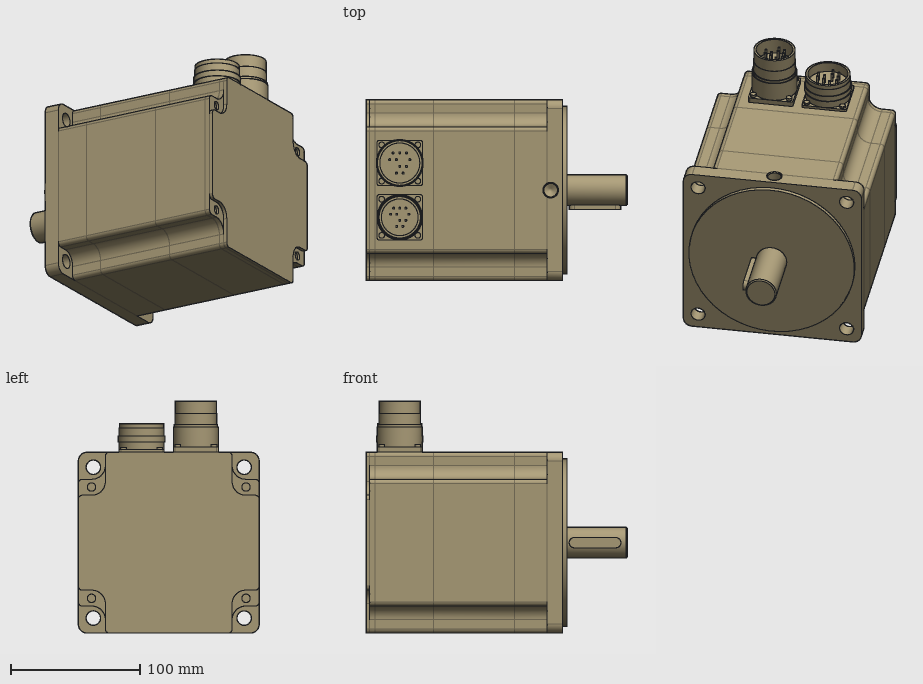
import cadquery as cq
import math


body_width = 140.05
half_width = body_width / 2
flange_thickness = 12.0
body_rear = -149.25
section_joints = [-145.3, -100.0, -37.4]
flange_corner_radius = 7.0
edge_radius = 3.3

recess = 21.0
recess_radius = 10.5
cover_recess = 33.3
cover_thickness = 2.75

bolt_circle = 165.0
bolt_hole_diameter = 11.0
bolt_offset = bolt_circle / 2 / math.sqrt(2)
screw_hole_diameter = 6.5
screw_hole_depth = 2.0
screw_y = half_width - 10.3
screw_z = half_width - 27.0
top_hole_x = -9.3
top_hole_diameter = 10.5
top_hole_chamfer = 0.75
top_hole_depth = 8.0
drill_point_angle = 118.0

pilot_diameter = 130.0
pilot_height = 3.5
shaft_diameter = 24.0
shaft_length = 50.0
shaft_chamfer = 1.0
key_start = 5.0
key_length = 40.0
key_width = 8.0
key_top = 15.0

connector_x = -126.0
connector_spacing = 42.0
plate_width = 35.0
plate_corner_radius = 1.5
screw_head_diameter = 4.4
screw_head_spacing = 28.0
pin_diameter = 1.5
pin_grid = [
    (-1, 1.5), (0, 1.5), (1, 1.5),
    (-1.5, 0.5), (-0.5, 0.5), (1.5, 0.5),
    (0, -0.5), (1, -0.5),
    (-0.5, -1.5), (0.5, -1.5),
]


def recessed_section(x_start, length, recess_z):
    """Square prism along X with a round-bottomed recess in each corner."""
    prism = (
        cq.Workplane("YZ").workplane(offset=x_start)
        .rect(body_width, body_width).extrude(length)
    )
    for side_y in (-1, 1):
        for side_z in (-1, 1):
            inner_y = side_y * (half_width - recess)
            inner_z = side_z * (half_width - recess_z)
            inner_corner = (x_start + length / 2, inner_y, inner_z)
            cutter = (
                cq.Workplane("YZ").workplane(offset=x_start)
                .center(inner_y + side_y * half_width / 2, inner_z + side_z * half_width / 2)
                .rect(half_width, half_width).extrude(length)
                .edges("|X").edges(cq.selectors.NearestToPointSelector(inner_corner))
                .fillet(recess_radius)
            )
            prism = prism.cut(cutter)
    return prism.edges("|X").edges(">Y or <Y or >Z or <Z").fillet(edge_radius)


def make_housing():
    """Flange, stacked housing sections and rear cover."""
    housing = (
        cq.Workplane("YZ").workplane(offset=-flange_thickness)
        .rect(body_width, body_width).extrude(flange_thickness)
        .edges("|X").fillet(flange_corner_radius)
    )
    stations = [body_rear] + section_joints + [-flange_thickness]
    for start, end in zip(stations, stations[1:]):
        housing = housing.union(recessed_section(start, end - start, recess), clean=False)
    cover = recessed_section(body_rear - cover_thickness, cover_thickness, cover_recess)
    return housing.union(cover, clean=False)


def cut_holes(motor):
    """Flange bolt holes, rear screw holes and the pointed hole in the top face."""
    bolt_holes = (
        cq.Workplane("YZ").workplane(offset=-flange_thickness)
        .rect(2 * bolt_offset, 2 * bolt_offset, forConstruction=True).vertices()
        .circle(bolt_hole_diameter / 2).extrude(flange_thickness)
    )
    screw_holes = (
        cq.Workplane("YZ").workplane(offset=body_rear)
        .rect(2 * screw_y, 2 * screw_z, forConstruction=True).vertices()
        .circle(screw_hole_diameter / 2).extrude(screw_hole_depth)
    )
    radius = top_hole_diameter / 2
    point_depth = radius / math.tan(math.radians(drill_point_angle / 2))
    top_hole = (
        cq.Workplane("XZ")
        .moveTo(0, half_width)
        .lineTo(radius + top_hole_chamfer, half_width)
        .lineTo(radius, half_width - top_hole_chamfer)
        .lineTo(radius, half_width - top_hole_depth)
        .lineTo(0, half_width - top_hole_depth - point_depth)
        .close()
        .revolve(360, (0, 0, 0), (0, 1, 0))
        .translate((top_hole_x, 0, 0))
    )
    return motor.cut(bolt_holes, clean=False).cut(screw_holes, clean=False).cut(top_hole, clean=False)


def make_shaft():
    """Pilot, shaft and round-ended key on the -Y side."""
    pilot = cq.Workplane("YZ").circle(pilot_diameter / 2).extrude(pilot_height)
    shaft = (
        cq.Workplane("YZ").circle(shaft_diameter / 2).extrude(shaft_length)
        .faces(">X").chamfer(shaft_chamfer)
    )
    key = (
        cq.Workplane("XZ").center(key_start + key_length / 2, 0)
        .slot2D(key_length, key_width).extrude(key_top)
    )
    return pilot.union(shaft).union(key)


def make_connector(
    y, plate_height, head_height, steps, bore_diameter, bore_floor, pin_pitch, pin_length
):
    """Round connector on a square plate; steps lists (diameter, top height) from the bottom up."""
    base = cq.Workplane("XY", origin=(connector_x, y, half_width))
    connector = (
        base.rect(plate_width, plate_width).extrude(plate_height)
        .edges("|Z").fillet(plate_corner_radius)
    )
    heads = (
        base.rect(screw_head_spacing, screw_head_spacing, forConstruction=True).vertices()
        .circle(screw_head_diameter / 2).extrude(plate_height + head_height)
    )
    connector = connector.union(heads)
    bottom = 0.0
    for diameter, top in steps:
        step = base.workplane(offset=bottom).circle(diameter / 2).extrude(top - bottom)
        connector = connector.union(step)
        bottom = top
    bore = base.workplane(offset=bore_floor).circle(bore_diameter / 2).extrude(bottom - bore_floor)
    pins = (
        base.workplane(offset=bore_floor)
        .pushPoints([(column * pin_pitch, row * pin_pitch) for column, row in pin_grid])
        .circle(pin_diameter / 2).extrude(pin_length)
    )
    return connector.cut(bore).union(pins)


short_connector = make_connector(
    y=connector_spacing / 2,
    plate_height=2.0,
    head_height=1.4,
    steps=[(35.0, 7.9), (36.3, 12.6), (35.0, 18.6), (34.5, 22.0)],
    bore_diameter=31.0,
    bore_floor=14.0,
    pin_pitch=5.2,
    pin_length=6.5,
)
tall_connector = make_connector(
    y=-connector_spacing / 2,
    plate_height=4.0,
    head_height=2.0,
    steps=[(35.0, 19.3), (33.7, 21.3), (32.4, 29.8), (32.0, 39.48)],
    bore_diameter=28.4,
    bore_floor=27.0,
    pin_pitch=4.7,
    pin_length=10.0,
)

result = cut_holes(make_housing())
for component in (make_shaft(), short_connector, tall_connector):
    result = result.union(component, clean=False)